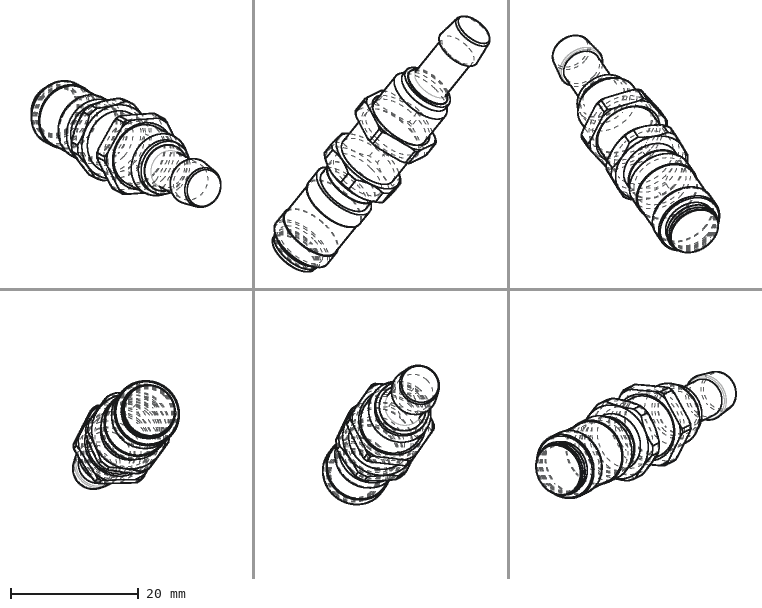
import cadquery as cq
import math


sleeve_start = 2.05
front_land_end = 4.8
rear_land_start = 11.4
sleeve_end = 14.25
neck_end = 16.2
hex_start = 18.0
shank_end = 35.95
collar_start = 37.0
collar_end = 37.95
shoulder_end = 38.1
barb_start = 46.45
barb_crest_end = 46.7
barb_taper_end = 50.7
total_length = 51.05

nose_diameter = 8.15
sleeve_diameter = 10.35
sleeve_waist_diameter = 10.0
neck_diameter = 8.9
seat_diameter = 9.15
shank_diameter = 10.0
collar_diameter = 8.6
shoulder_diameter = 7.45
tube_diameter = 6.1
barb_crest_diameter = 7.3
barb_tip_diameter = 6.4
barb_end_diameter = 5.9

nose_chamfer = 0.075
sleeve_chamfer = 0.2
barb_edge_radius = 0.2
tube_fillet_radius = (shoulder_diameter - tube_diameter) / 2

ring_diameter = 8.6
ring_wire_diameter = 0.6
ring_center = 0.9
ring_gap = 0.45
groove_start = 0.65
groove_end = 1.35
groove_diameter = 7.45

across_flats = 12.0
hex_width = 3.0

flange_corner_diameter = 13.0
flange_face_diameter = 11.95
flange_chamfer = 0.45
flange_turn = 5.6

nut_start = 27.35
nut_corner_diameter = 13.5
nut_face_diameter = 12.85
nut_chamfer = 0.18
nut_turn = -3.3
nut_countersink_diameter = 10.8
nut_countersink_depth = 0.8


def cylinder_on_axis(start, length, diameter):
    """Solid cylinder along +X, starting at the given station."""
    return cq.Workplane("YZ", origin=(start, 0, 0)).circle(diameter / 2).extrude(length)


def hexagon(start, corner_diameter, face_diameter, chamfer, turn):
    """Hexagon with turned corners and both ends chamfered, rotated by `turn` degrees about X."""
    sharp_corner_diameter = across_flats / math.cos(math.pi / 6)
    prism = (
        cq.Workplane("YZ", origin=(start, 0, 0))
        .polygon(6, sharp_corner_diameter)
        .extrude(hex_width)
        .rotate((0, 0, 0), (1, 0, 0), turn)
    )
    end = start + hex_width
    turned_blank = (
        cq.Workplane("XY")
        .moveTo(start, 0)
        .lineTo(start, face_diameter / 2)
        .lineTo(start + chamfer, corner_diameter / 2)
        .lineTo(end - chamfer, corner_diameter / 2)
        .lineTo(end, face_diameter / 2)
        .lineTo(end, 0)
        .close()
        .revolve(360, (0, 0, 0), (1, 0, 0))
    )
    return prism.intersect(turned_blank)


def turned_profile():
    """Body of revolution: nose, sleeve, neck, shank, collar, tube and hose barb."""
    fillet_center = shoulder_end + tube_fillet_radius
    fillet_mid_offset = tube_fillet_radius * math.sqrt(0.5)
    tube_radius = tube_diameter / 2
    crest_radius = barb_crest_diameter / 2
    edge_mid_offset = barb_edge_radius * (1 - math.sqrt(0.5))
    return (
        cq.Workplane("XY")
        .moveTo(0, 0)
        .lineTo(0, nose_diameter / 2 - nose_chamfer)
        .lineTo(nose_chamfer, nose_diameter / 2)
        .lineTo(groove_start, nose_diameter / 2)
        .lineTo(groove_start, groove_diameter / 2)
        .lineTo(groove_end, groove_diameter / 2)
        .lineTo(groove_end, nose_diameter / 2)
        .lineTo(sleeve_start, nose_diameter / 2)
        .lineTo(sleeve_start, sleeve_diameter / 2 - sleeve_chamfer)
        .lineTo(sleeve_start + sleeve_chamfer, sleeve_diameter / 2)
        .lineTo(front_land_end, sleeve_diameter / 2)
        .lineTo(front_land_end, sleeve_waist_diameter / 2)
        .lineTo(rear_land_start, sleeve_waist_diameter / 2)
        .lineTo(rear_land_start, sleeve_diameter / 2)
        .lineTo(sleeve_end, sleeve_diameter / 2)
        .lineTo(sleeve_end, neck_diameter / 2)
        .lineTo(neck_end, neck_diameter / 2)
        .lineTo(neck_end, seat_diameter / 2)
        .lineTo(hex_start, seat_diameter / 2)
        .lineTo(hex_start, shank_diameter / 2)
        .lineTo(shank_end, shank_diameter / 2)
        .lineTo(collar_start, collar_diameter / 2)
        .lineTo(collar_end, collar_diameter / 2)
        .lineTo(collar_end, shoulder_diameter / 2)
        .lineTo(shoulder_end, shoulder_diameter / 2)
        .threePointArc(
            (fillet_center - fillet_mid_offset, shoulder_diameter / 2 - fillet_mid_offset),
            (fillet_center, tube_radius),
        )
        .lineTo(barb_start, tube_radius)
        .lineTo(barb_start, crest_radius - barb_edge_radius)
        .threePointArc(
            (barb_start + edge_mid_offset, crest_radius - edge_mid_offset),
            (barb_start + barb_edge_radius, crest_radius),
        )
        .lineTo(barb_crest_end, crest_radius)
        .lineTo(barb_taper_end, barb_tip_diameter / 2)
        .lineTo(total_length, barb_end_diameter / 2)
        .lineTo(total_length, 0)
        .close()
        .revolve(360, (0, 0, 0), (1, 0, 0))
    )


def retaining_ring():
    """Round-wire ring that is sunk into the floor and front wall of its groove."""
    wire_center_radius = (ring_diameter - ring_wire_diameter) / 2
    return (
        cq.Workplane("XY")
        .center(ring_center, wire_center_radius)
        .circle(ring_wire_diameter / 2)
        .revolve(360, (0, -wire_center_radius, 0), (1, -wire_center_radius, 0))
    )


def retaining_ring_gap():
    """Block that opens the ring on the -Y side, down to the groove floor."""
    length = groove_end - groove_start
    depth = ring_wire_diameter
    return (
        cq.Workplane("XY")
        .box(length, depth, ring_gap)
        .translate((groove_start + length / 2, -(groove_diameter + depth) / 2, 0))
    )


def coupling_body():
    flange = hexagon(hex_start, flange_corner_diameter, flange_face_diameter, flange_chamfer, flange_turn)
    return turned_profile().union(flange).union(retaining_ring()).cut(retaining_ring_gap())


def nut_countersink(face, inward):
    """Cone that opens the nut bore at one face; `inward` is the X direction (+1 or -1) into the nut."""
    inner_end = face + inward * nut_countersink_depth
    return (
        cq.Workplane("XY")
        .moveTo(face, 0)
        .lineTo(face, nut_countersink_diameter / 2)
        .lineTo(inner_end, shank_diameter / 2)
        .lineTo(inner_end, 0)
        .close()
        .revolve(360, (0, 0, 0), (1, 0, 0))
    )


def hex_nut():
    nut = hexagon(nut_start, nut_corner_diameter, nut_face_diameter, nut_chamfer, nut_turn)
    nut = nut.cut(cylinder_on_axis(nut_start, hex_width, shank_diameter))
    for face, inward in ((nut_start, 0.5), (nut_start + hex_width, -0.5)):
        nut = nut.cut(nut_countersink(face, inward))
    return nut


body = coupling_body()
nut = hex_nut()
result = cq.Compound.makeCompound([body.solids().val(), nut.solids().val()])